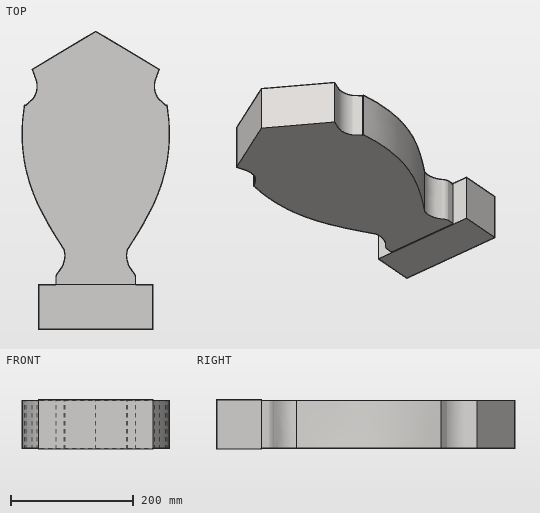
import cadquery as cq

BODY_WIDTH = 240.24
TOTAL_LENGTH = 485.68
BASE_THICKNESS = 80.68

BASE_WIDTH = 186.0
BASE_LENGTH = 73.0

FACE_SETBACK = 1.34
PLATE_THICKNESS = BASE_THICKNESS - 2 * FACE_SETBACK

HEAD_LENGTH = 62.0
SHOULDER_HALF_WIDTH = 103.5
SHOULDER_Y = TOTAL_LENGTH - HEAD_LENGTH
NOTCH_TOP_HALF_WIDTH = 98.5
NOTCH_TOP_DROP = 14.0
NOTCH_TOP_Y = SHOULDER_Y - NOTCH_TOP_DROP
NOTCH_HALF_WIDTH = 95.7
NOTCH_DROP = 26.5
NOTCH_Y = SHOULDER_Y - NOTCH_DROP
NOTCH_FLANK_HALF_WIDTH = 102.5
NOTCH_FLANK_DROP = 48.0
NOTCH_FLANK_Y = SHOULDER_Y - NOTCH_FLANK_DROP
NOTCH_END_HALF_WIDTH = 114.0
NOTCH_END_DROP = 58.5
NOTCH_END_Y = SHOULDER_Y - NOTCH_END_DROP

LEDGE_HALF_WIDTH = 116.3
BELLY_HALF_WIDTH = BODY_WIDTH / 2
BELLY_Y = 319.0
FLANK_HALF_WIDTH = 114.8
FLANK_Y = 265.0
WAIST_HALF_WIDTH = 95.3
WAIST_Y = 206.0
TAPER_HALF_WIDTH = 71.8
TAPER_Y = 162.0
NECK_TOP_HALF_WIDTH = 51.8
NECK_TOP_Y = 130.0

NECK_HALF_WIDTH = 50.2
NECK_Y = 121.0
NECK_FLANK_HALF_WIDTH = 53.6
NECK_FLANK_Y = 104.5
FLARE_HALF_WIDTH = 60.5
FLARE_Y = 94.0
FLARE_MID_HALF_WIDTH = 63.3
FLARE_MID_Y = 90.3
FOOT_HALF_WIDTH = 65.0
FOOT_Y = 86.0


def make_half_plate():
    """The +X half of the plate, bounded by the centre line."""
    return (
        cq.Workplane("XY")
        .workplane(offset=-PLATE_THICKNESS / 2)
        .moveTo(0, TOTAL_LENGTH)
        .lineTo(SHOULDER_HALF_WIDTH, SHOULDER_Y)
        .lineTo(NOTCH_TOP_HALF_WIDTH, NOTCH_TOP_Y)
        .threePointArc((NOTCH_HALF_WIDTH, NOTCH_Y), (NOTCH_FLANK_HALF_WIDTH, NOTCH_FLANK_Y))
        .lineTo(NOTCH_END_HALF_WIDTH, NOTCH_END_Y)
        .lineTo(LEDGE_HALF_WIDTH, NOTCH_END_Y)
        .spline(
            [
                (BELLY_HALF_WIDTH, BELLY_Y),
                (FLANK_HALF_WIDTH, FLANK_Y),
                (WAIST_HALF_WIDTH, WAIST_Y),
                (TAPER_HALF_WIDTH, TAPER_Y),
                (NECK_TOP_HALF_WIDTH, NECK_TOP_Y),
            ],
            includeCurrent=True,
        )
        .spline(
            [
                (NECK_HALF_WIDTH, NECK_Y),
                (NECK_FLANK_HALF_WIDTH, NECK_FLANK_Y),
                (FLARE_HALF_WIDTH, FLARE_Y),
            ],
            includeCurrent=True,
        )
        .threePointArc((FLARE_MID_HALF_WIDTH, FLARE_MID_Y), (FOOT_HALF_WIDTH, FOOT_Y))
        .lineTo(FOOT_HALF_WIDTH, 0)
        .lineTo(0, 0)
        .close()
        .extrude(PLATE_THICKNESS)
    )


def make_plate():
    """Both halves of the plate, symmetric about the YZ plane."""
    half_plate = make_half_plate()
    return half_plate.union(half_plate.mirror("YZ"))


def make_base():
    """Plain block the plate stands on, centred on the plate's thickness."""
    return cq.Workplane("XY").box(
        BASE_WIDTH, BASE_LENGTH, BASE_THICKNESS, centered=(True, False, True)
    )


result = make_base().union(make_plate()).clean()